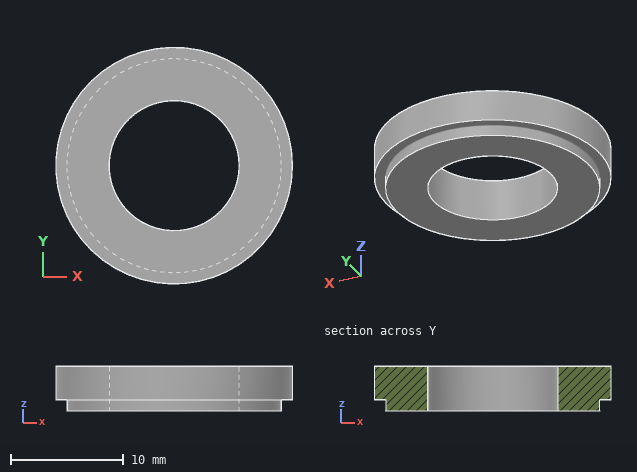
import cadquery as cq

outer_diameter = 21.0
lip_diameter = 19.0
bore_diameter = 11.5
total_height = 4.0
lip_height = 1.0
corner_fillet_radius = 0.1

outer_radius = outer_diameter / 2
lip_radius = lip_diameter / 2
bore_radius = bore_diameter / 2

fillet_start = (lip_radius, lip_height - corner_fillet_radius)
fillet_end = (lip_radius + corner_fillet_radius, lip_height)

section = (
    cq.Workplane("XZ")
    .moveTo(bore_radius, 0)
    .lineTo(lip_radius, 0)
    .lineTo(*fillet_start)
    .tangentArcPoint(fillet_end, relative=False)
    .lineTo(outer_radius, lip_height)
    .lineTo(outer_radius, total_height)
    .lineTo(bore_radius, total_height)
    .close()
)

result = section.revolve(360, (0, 0, 0), (0, 1, 0))